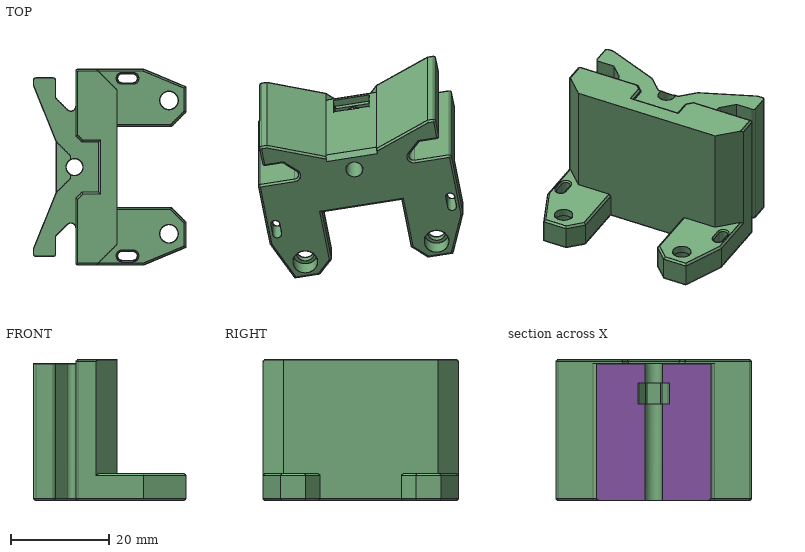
import cadquery as cq
import math

EDGE = 0.4
BEVEL_ANGLE = 45

PLATE_FRONT = 8.6
PLATE_BACK = 17.0
JOIN_X = PLATE_FRONT + 2 * EDGE
PLATE_HALF = 19.9
PLATE_TOP = 28.62
PLATE_ROUND = 0.45
PLATE_CORNER = 4.25

JAW_TOP = 27.8
JAW_HALF = 18.15
TIP_THICKNESS = 4.5
TIP_FLAT_Y = 16.55
TIP_ROUND = 0.5
WEB_X = 4.6
WEB_HALF = 5.22
THROAT_Y = 14.07
THROAT_ROUND = 1.0

RECESS_BACK = 13.2
RECESS_HALF = 5.1
RECESS_CORNER = 1.25

SLOPE_CUT = 2.93
FOOT_BEVEL = 1.0

BOLT_X = 8.35
BOLT_DIA = 3.4
NUT_FLATS = 5.5
NUT_FLAT_ANGLE = 30
NUT_FLAT_END = 2.85
NUT_BACK_CHAMFER = 0.2
MOUTH_HALF = 3.7
MOUTH_DEPTH = 1.4
MOUTH_BEVEL = 0.37
MOUTH_BOTTOM = 19.25
MOUTH_TOP = 24.2

FLANGE_THICKNESS = 5.5
FLANGE_END = 31.0
FLANGE_INNER = 8.24
FLANGE_TAPER_X = 22.4
FLANGE_TAPER_Y = 16.3
FLANGE_CORNER = 2.95
SCREW_X = 27.53
SCREW_Y = 13.54
SCREW_DIA = 3.7
SCREW_BORE_DIA = 5.0
SCREW_SEAT = 1.55

SLOT_X = 19.1
SLOT_Y = 18.03
SLOT_LENGTH = 4.0
SLOT_WIDTH = 1.8
SLOT_CHAMFER = 0.3


def prism(points, bottom, top):
    """Vertical prism over a plan outline."""
    return cq.Workplane("XY").workplane(offset=bottom).polyline(points).close().extrude(top - bottom)


def mirrored(points):
    """Complete a symmetric outline from its +Y half."""
    return points + [(x, -y) for x, y in reversed(points)]


def both_sides(solid):
    return solid.union(solid.mirror("XZ"))


def make_plate():
    cut_x = PLATE_BACK - PLATE_CORNER
    outline = mirrored([
        (PLATE_FRONT, PLATE_HALF),
        (cut_x, PLATE_HALF),
        (PLATE_BACK, PLATE_HALF - PLATE_CORNER),
    ])
    plate = prism(outline, 0, PLATE_TOP)
    plate = plate.edges("|Z and <X").fillet(PLATE_ROUND)
    recess = prism(mirrored([
        (PLATE_FRONT, RECESS_HALF + RECESS_CORNER),
        (PLATE_FRONT + RECESS_CORNER, RECESS_HALF),
        (RECESS_BACK, RECESS_HALF),
    ]), JAW_TOP, PLATE_TOP)
    plate = plate.cut(recess)
    rear = cq.selectors.BoxSelector(
        (RECESS_BACK + EDGE, -PLATE_HALF, 0), (PLATE_BACK + EDGE, PLATE_HALF, PLATE_TOP + EDGE)
    )
    return plate.faces(">Z").edges(cq.selectors.InverseSelector(rear)).chamfer(EDGE)


def make_jaw():
    diagonal = math.sqrt(0.5) * THROAT_ROUND
    round_x = PLATE_FRONT - THROAT_ROUND
    round_y = THROAT_Y - (round_x - diagonal - TIP_THICKNESS) + diagonal
    half = (
        cq.Workplane("XY")
        .moveTo(WEB_X, 0)
        .lineTo(WEB_X, WEB_HALF)
        .lineTo(0, TIP_FLAT_Y)
        .lineTo(0, JAW_HALF)
        .lineTo(TIP_THICKNESS, JAW_HALF)
        .lineTo(TIP_THICKNESS, THROAT_Y)
        .lineTo(round_x - diagonal, round_y - diagonal)
        .threePointArc((round_x + diagonal, round_y - diagonal), (PLATE_FRONT, round_y))
        .lineTo(JOIN_X, round_y)
        .lineTo(JOIN_X, 0)
        .close()
        .extrude(JAW_TOP)
    )
    half = half.edges("|Z and >Y").fillet(TIP_ROUND)
    return both_sides(half)


def make_flange():
    flange = prism([
        (JOIN_X, FLANGE_INNER),
        (FLANGE_END - FLANGE_CORNER, FLANGE_INNER),
        (FLANGE_END, FLANGE_INNER + FLANGE_CORNER),
        (FLANGE_END, FLANGE_TAPER_Y),
        (FLANGE_TAPER_X, PLATE_HALF),
        (JOIN_X, PLATE_HALF),
    ], 0, FLANGE_THICKNESS)
    return flange.faces(">Z").edges("not <X").chamfer(EDGE)


def cut_flange_holes(body):
    screw = cq.Workplane("XY").center(SCREW_X, SCREW_Y)
    holes = screw.circle(SCREW_DIA / 2).extrude(FLANGE_THICKNESS)
    holes = holes.union(screw.circle(SCREW_BORE_DIA / 2).extrude(FLANGE_THICKNESS - SCREW_SEAT))
    slot = cq.Workplane("XY").center(SLOT_X, SLOT_Y).slot2D(SLOT_LENGTH, SLOT_WIDTH).extrude(FLANGE_THICKNESS)
    slot_mouth = (
        cq.Workplane("XY", origin=(SLOT_X, SLOT_Y, FLANGE_THICKNESS))
        .slot2D(SLOT_LENGTH + 2 * SLOT_CHAMFER, SLOT_WIDTH + 2 * SLOT_CHAMFER)
        .extrude(-SLOT_CHAMFER, taper=BEVEL_ANGLE)
    )
    return body.cut(both_sides(holes.union(slot).union(slot_mouth)))


def web_wedge(height, z_edge, z_end):
    """Triangular XZ wedge that slopes back from the web face by the given height."""
    return (
        cq.Workplane("XZ")
        .polyline([(WEB_X, z_end), (WEB_X, z_edge), (WEB_X + height, z_end)])
        .close()
        .extrude(WEB_HALF, both=True)
    )


def cut_web_ends(body):
    funnel = prism(mirrored([
        (WEB_X, WEB_HALF),
        (WEB_X + SLOPE_CUT, WEB_HALF - SLOPE_CUT),
    ]), 0, PLATE_TOP)
    upper = web_wedge(SLOPE_CUT, JAW_TOP - SLOPE_CUT, JAW_TOP).intersect(funnel)
    return body.cut(upper).cut(web_wedge(FOOT_BEVEL, FOOT_BEVEL, 0))


def cut_nut_trap(body):
    mouth_end = WEB_X + MOUTH_DEPTH
    slope = math.tan(math.radians(NUT_FLAT_ANGLE))
    back_x = BOLT_X + NUT_FLATS / 2
    corner_y = NUT_FLATS / 2 * slope
    half = (
        cq.Workplane("XY", origin=(0, 0, MOUTH_BOTTOM + MOUTH_BEVEL))
        .moveTo(mouth_end, 0)
        .lineTo(back_x, 0)
        .lineTo(back_x, corner_y)
        .lineTo(back_x - (NUT_FLAT_END - corner_y) / slope, NUT_FLAT_END)
        .tangentArcPoint((mouth_end, MOUTH_HALF), relative=False)
        .close()
        .extrude(MOUTH_TOP - MOUTH_BOTTOM - 2 * MOUTH_BEVEL)
    )
    pocket = both_sides(half).edges("|Z and >X").chamfer(NUT_BACK_CHAMFER)

    mouth_size = (2 * MOUTH_HALF, MOUTH_TOP - MOUTH_BOTTOM)
    middle_z = (MOUTH_TOP + MOUTH_BOTTOM) / 2
    mouth = cq.Workplane("YZ", origin=(WEB_X, 0, middle_z)).rect(*mouth_size).extrude(MOUTH_DEPTH)
    mouth_bevel = (
        cq.Workplane("YZ", origin=(mouth_end, 0, middle_z))
        .rect(*mouth_size)
        .extrude(MOUTH_BEVEL, taper=BEVEL_ANGLE)
    )
    bolt = cq.Workplane("XY").center(BOLT_X, 0).circle(BOLT_DIA / 2).extrude(JAW_TOP)
    return body.cut(pocket).cut(mouth).cut(mouth_bevel).cut(bolt)


body = make_plate().union(make_jaw()).union(both_sides(make_flange()))
body = body.faces("<Z").edges().chamfer(EDGE)
body = cut_flange_holes(body)
body = cut_web_ends(body)
result = cut_nut_trap(body)